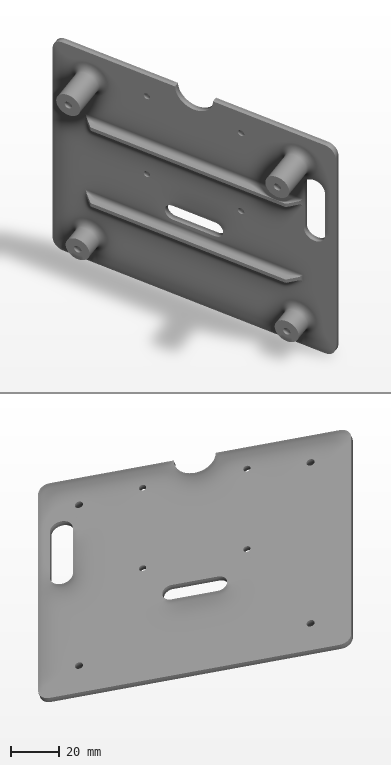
import cadquery as cq

plate_width = 135.0
plate_height = 120.0
plate_thickness = 2.5
corner_radius = 5.0
notch_radius = 9.0

boss_diameter = 11.5
boss_fillet = 3.0
boss_hole_diameter = 3.5
boss_x = 50.0
boss_z = 45.0
upper_boss_length = 18.0
lower_boss_length = 10.0

rib_base_length = 103.3
rib_thickness = 1.9
rib_height = 5.0
rib_top_length = rib_base_length - 2 * rib_height
rib_z = 21.9
rib_fillet = 1.15

mount_hole_diameter = 3.1
mount_spacing = 45.0
mount_center_z = 25.5

side_slot_length = 35.0
side_slot_width = 10.0
side_slot_x = 57.5
side_slot_z = 20.0
center_slot_length = 28.0
center_slot_width = 8.0
center_slot_z = -13.4


def front_plane():
    """Workplane on the plate's front face: local x, y are X, Z and the normal is -Y."""
    return cq.Workplane("XZ")


def make_plate():
    plate = front_plane().rect(plate_width, plate_height).extrude(-plate_thickness)
    plate = plate.edges("|Y").fillet(corner_radius)
    notch = front_plane().center(0, plate_height / 2).circle(notch_radius).extrude(-plate_thickness)
    return plate.cut(notch)


def make_boss(x, z, length):
    """Round standoff whose foot flares onto the plate with a concave fillet."""
    radius = boss_diameter / 2
    foot_radius = radius + boss_fillet
    arc_offset = boss_fillet * (1 - 0.5**0.5)
    return (
        cq.Workplane("XY")
        .moveTo(0, plate_thickness)
        .lineTo(foot_radius, plate_thickness)
        .lineTo(foot_radius, 0)
        .threePointArc((radius + arc_offset, -arc_offset), (radius, -boss_fillet))
        .lineTo(radius, -length)
        .lineTo(0, -length)
        .close()
        .revolve(360, (0, 0, 0), (0, 1, 0))
        .translate((x, 0, z))
    )


def add_ribs(body):
    """Add both ribs, then round the joint between each rib and the plate."""
    for z in (-rib_z, rib_z):
        rib = (
            cq.Workplane("XY", origin=(0, 0, z))
            .moveTo(-rib_base_length / 2, 0)
            .lineTo(rib_base_length / 2, 0)
            .lineTo(rib_top_length / 2, -rib_height)
            .lineTo(-rib_top_length / 2, -rib_height)
            .close()
            .extrude(rib_thickness / 2, both=True)
        )
        rib = rib.faces("<Y").edges("|Z").fillet(rib_fillet)
        body = body.union(rib)
    foot_half_length = rib_base_length / 2 + rib_fillet
    foot_half_height = rib_z + rib_thickness
    foot_edges = body.edges(
        cq.selectors.BoxSelector(
            (-foot_half_length, -rib_fillet / 2, -foot_half_height),
            (foot_half_length, rib_fillet / 2, foot_half_height),
        )
    )
    return foot_edges.fillet(rib_fillet)


def through_cut(outline):
    """Cutting solid long enough to pass an outline through the plate and the standoffs."""
    return outline.extrude(upper_boss_length, both=True)


result = add_ribs(make_plate())

for side in (-1, 1):
    result = result.union(make_boss(side * boss_x, boss_z, upper_boss_length))
    result = result.union(make_boss(side * boss_x, -boss_z, lower_boss_length))

boss_holes = (
    front_plane()
    .rect(2 * boss_x, 2 * boss_z, forConstruction=True)
    .vertices()
    .circle(boss_hole_diameter / 2)
)
result = result.cut(through_cut(boss_holes))

mount_holes = (
    front_plane()
    .center(0, mount_center_z)
    .rect(mount_spacing, mount_spacing, forConstruction=True)
    .vertices()
    .circle(mount_hole_diameter / 2)
)
result = result.cut(through_cut(mount_holes))

side_slot = front_plane().center(side_slot_x, side_slot_z).slot2D(side_slot_length, side_slot_width, 90)
result = result.cut(through_cut(side_slot))

center_slot = front_plane().center(0, center_slot_z).slot2D(center_slot_length, center_slot_width)
result = result.cut(through_cut(center_slot))